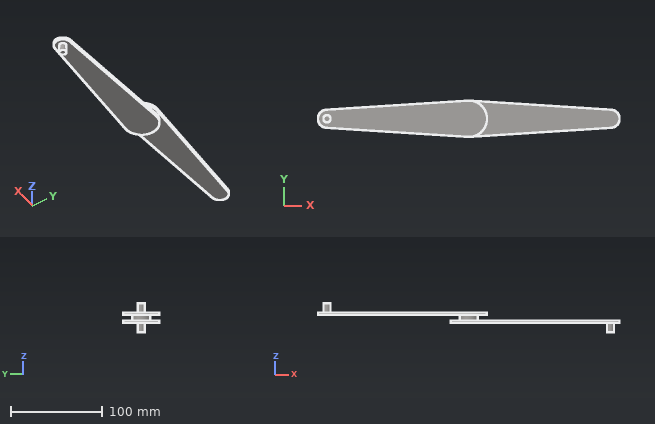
import cadquery as cq
import math

overall_length = 330.0
overall_height = 32.0
hub_end_diameter = 40.0
tip_diameter = 20.0
plate_thickness = 3.0
boss_diameter = 20.0
boss_height = 6.0
pin_diameter = 8.0

hub_end_radius = hub_end_diameter / 2
tip_radius = tip_diameter / 2
center_distance = overall_length / 2 - tip_radius
plate_inner_z = boss_height / 2
plate_outer_z = plate_inner_z + plate_thickness
pin_height = overall_height / 2 - plate_outer_z


def tapered_plate():
    """Flat plate along -X: a large and a small round end joined by tangent edges."""
    tangent_angle = math.asin((hub_end_radius - tip_radius) / center_distance)
    along = math.sin(tangent_angle)
    across = math.cos(tangent_angle)
    hub_x, hub_y = -hub_end_radius * along, hub_end_radius * across
    tip_x, tip_y = -center_distance - tip_radius * along, tip_radius * across
    return (
        cq.Workplane("XY", origin=(0, 0, plate_inner_z))
        .moveTo(hub_x, hub_y)
        .threePointArc((hub_end_radius, 0), (hub_x, -hub_y))
        .lineTo(tip_x, -tip_y)
        .threePointArc((-center_distance - tip_radius, 0), (tip_x, tip_y))
        .close()
        .extrude(plate_thickness)
    )


def arm_with_pin():
    """Tapered plate with an outward pin at its small end."""
    pin = (
        cq.Workplane("XY", origin=(-center_distance, 0, plate_outer_z))
        .circle(pin_diameter / 2)
        .extrude(pin_height)
    )
    return tapered_plate().union(pin)


def upper_arm():
    """Arm toward -X, with its pin pointing up."""
    return arm_with_pin()


def lower_arm():
    """Arm turned over toward +X, with the pivot boss that carries the upper arm."""
    boss = (
        cq.Workplane("XY", origin=(0, 0, -plate_inner_z))
        .circle(boss_diameter / 2)
        .extrude(boss_height)
    )
    return arm_with_pin().rotate((0, 0, 0), (0, 1, 0), 180).union(boss)


result = cq.Compound.makeCompound([upper_arm().val(), lower_arm().val()])